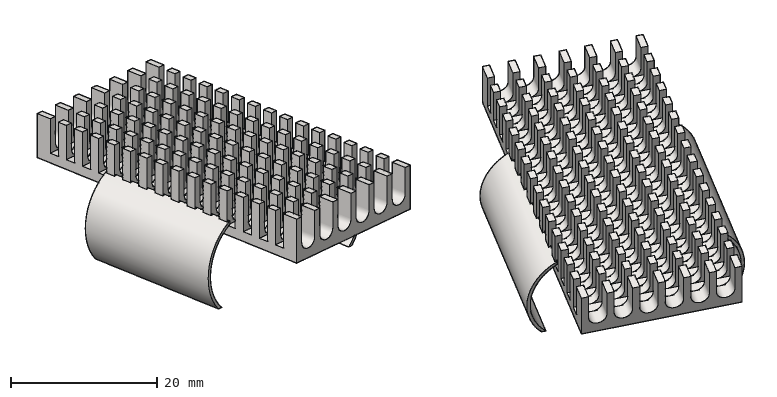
import cadquery as cq
import math

SINK_LENGTH = 48.3
SINK_WIDTH = 22.9
SINK_HEIGHT = 6.7
BASE_THICKNESS = 1.5
SINK_TOP = 17.2
SINK_BOTTOM = SINK_TOP - SINK_HEIGHT
FLOOR_Z = SINK_BOTTOM + BASE_THICKNESS

CROSS_SLOT_COUNT = 15
CROSS_SLOT_PITCH = 3.0
CROSS_SLOT_WIDTH = 1.5

CHANNEL_COUNT = 6
CHANNEL_WIDTH = 2.6
CHANNEL_PITCH = (SINK_WIDTH + CHANNEL_WIDTH) / (CHANNEL_COUNT + 1)

CLIP_LENGTH = 22.9
CLIP_THICKNESS = 0.5
CLIP_OUTER_RADIUS = 8.1
CLIP_INNER_RADIUS = CLIP_OUTER_RADIUS - CLIP_THICKNESS
CLIP_REACH = 15.5
CLIP_AXIS_Y = CLIP_REACH - CLIP_OUTER_RADIUS
CLIP_AXIS_Z = 5.4
CLIP_INSET = 0.3
CLIP_EDGE_Y = SINK_WIDTH / 2 - CLIP_INSET


def centered_positions(count, pitch):
    """Evenly spaced positions, symmetric about zero."""
    return [(i - (count - 1) / 2) * pitch for i in range(count)]


def make_cross_slot(x):
    """Cutter for one flat-bottomed slot, open at the top and at both ends."""
    return (
        cq.Workplane("XY", origin=(x, 0, FLOOR_Z))
        .rect(CROSS_SLOT_WIDTH, SINK_WIDTH)
        .extrude(SINK_TOP - FLOOR_Z)
    )


def make_channel(y):
    """Cutter for one channel with a half-round bottom that touches the floor height."""
    radius = CHANNEL_WIDTH / 2
    spring_z = FLOOR_Z + radius
    return (
        cq.Workplane("YZ", origin=(-SINK_LENGTH / 2, 0, 0))
        .moveTo(y - radius, SINK_TOP)
        .lineTo(y - radius, spring_z)
        .threePointArc((y, FLOOR_Z), (y + radius, spring_z))
        .lineTo(y + radius, SINK_TOP)
        .close()
        .extrude(SINK_LENGTH)
    )


def make_clip(side):
    """Curved clip on the +Y side (side = 1) or the -Y side (side = -1)."""

    def at_height(radius, z):
        return (side * (CLIP_AXIS_Y + math.sqrt(radius**2 - (z - CLIP_AXIS_Z) ** 2)), z)

    def at_edge(radius):
        rise = math.sqrt(radius**2 - (CLIP_EDGE_Y - CLIP_AXIS_Y) ** 2)
        return (side * CLIP_EDGE_Y, CLIP_AXIS_Z + rise)

    return (
        cq.Workplane("YZ", origin=(-CLIP_LENGTH / 2, 0, 0))
        .moveTo(*at_height(CLIP_OUTER_RADIUS, 0))
        .threePointArc(at_height(CLIP_OUTER_RADIUS, CLIP_AXIS_Z), at_edge(CLIP_OUTER_RADIUS))
        .lineTo(*at_edge(CLIP_INNER_RADIUS))
        .threePointArc(at_height(CLIP_INNER_RADIUS, CLIP_AXIS_Z), at_height(CLIP_INNER_RADIUS, 0))
        .close()
        .extrude(CLIP_LENGTH)
    )


def make_heat_sink(clips):
    """Pin-fin block with a matching recess for the upper edge of each clip."""
    sink = cq.Workplane("XY", origin=(0, 0, SINK_BOTTOM)).rect(SINK_LENGTH, SINK_WIDTH).extrude(SINK_HEIGHT)
    for x in centered_positions(CROSS_SLOT_COUNT, CROSS_SLOT_PITCH):
        sink = sink.cut(make_cross_slot(x))
    for y in centered_positions(CHANNEL_COUNT, CHANNEL_PITCH):
        sink = sink.cut(make_channel(y))
    for clip in clips:
        sink = sink.cut(clip)
    return sink


clips = [make_clip(side) for side in (-1, 1)]
heat_sink = make_heat_sink(clips)

result = cq.Compound.makeCompound([heat_sink.solids().val(), *[clip.val() for clip in clips]])